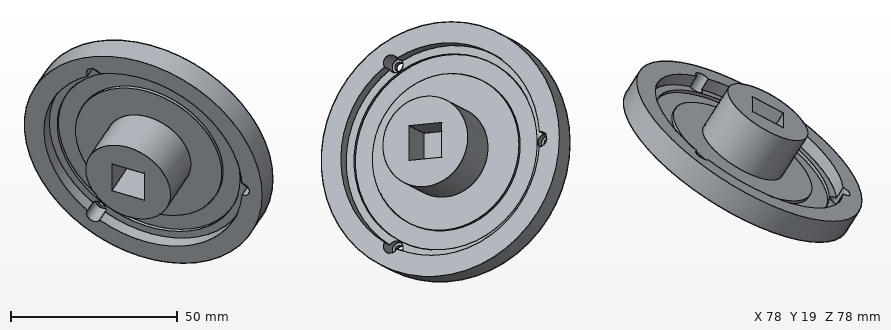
import cadquery as cq

flange_diameter = 78.0
flange_thickness = 8.0

outer_recess_diameter = 65.05
outer_recess_depth = 4.0
inner_recess_diameter = 60.0
inner_recess_depth = outer_recess_depth + 1.0
disc_diameter = 48.0
disc_height = 1.0

hub_diameter = 27.8
hub_projection = 11.0
socket_side = 10.7
socket_depth = hub_projection

screw_count = 3
screw_circle_diameter = outer_recess_diameter
screw_hole_diameter = 2.9
counterbore_diameter = 4.6
counterbore_depth = 6.5


def front_cylinder(diameter, start, end):
    """Cylinder on the Y axis between two distances in front of the back face."""
    return (
        cq.Workplane("XZ")
        .workplane(offset=start)
        .circle(diameter / 2)
        .extrude(end - start)
    )


flange = front_cylinder(flange_diameter, 0, flange_thickness)
recess_floor = flange_thickness - inner_recess_depth
outer_recess = front_cylinder(
    outer_recess_diameter, flange_thickness - outer_recess_depth, flange_thickness
)
inner_recess = front_cylinder(inner_recess_diameter, recess_floor, flange_thickness)
body = flange.cut(outer_recess).cut(inner_recess)

hub_end = flange_thickness + hub_projection
body = body.union(front_cylinder(disc_diameter, recess_floor, recess_floor + disc_height))
body = body.union(front_cylinder(hub_diameter, recess_floor, hub_end))

socket = (
    cq.Workplane("XZ")
    .workplane(offset=hub_end - socket_depth)
    .rect(socket_side, socket_side)
    .extrude(socket_depth)
)
body = body.cut(socket)

screw_holes = (
    cq.Workplane("XZ")
    .workplane(offset=flange_thickness)
    .polarArray(screw_circle_diameter / 2, 0, 360, screw_count)
)
through_holes = screw_holes.circle(screw_hole_diameter / 2).extrude(-flange_thickness)
counterbores = screw_holes.circle(counterbore_diameter / 2).extrude(-counterbore_depth)

result = body.cut(through_holes).cut(counterbores)